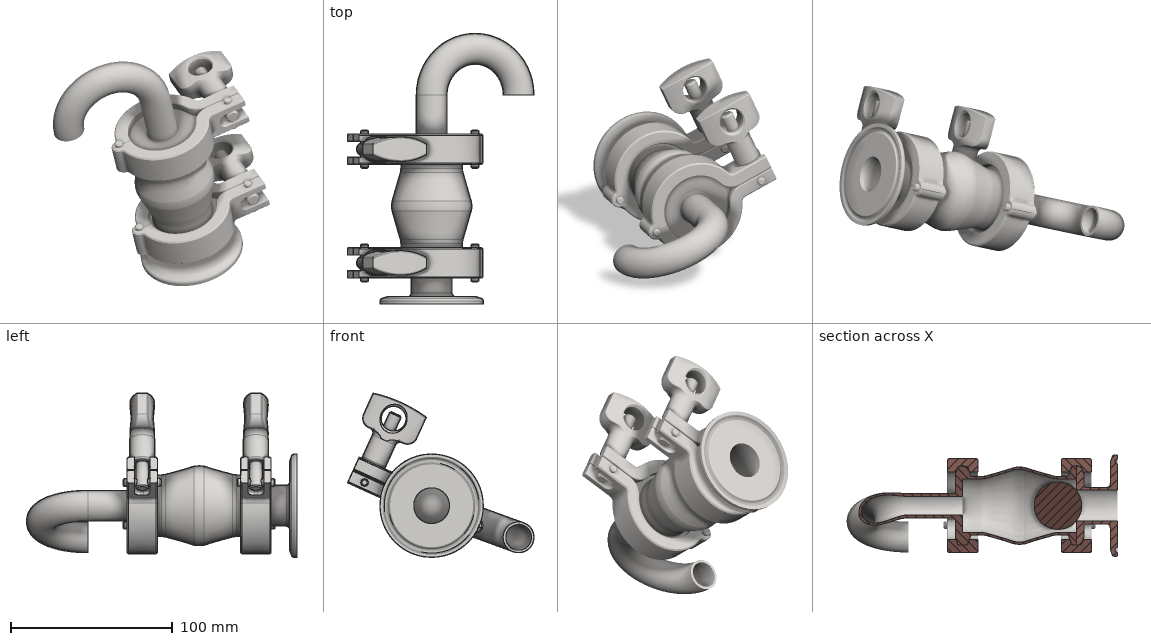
import cadquery as cq
import math


beyond = 167.4
tolerance = 0.2

inlet_od = 25.5
inlet_bore = 22.1
neck_od = 38.2
neck_bore = 34.8
hook_od = 19.0
hook_bore = 15.9

inlet_length = 25.5
housing_length = 70.3
outlet_joint = inlet_length + housing_length

inlet_flange_od = 64.0
joint_flange_od = 50.4
rim_thickness = 3.0
flange_thickness = 4.7
taper_width = 4.5
rim_fillet = 1.7
flange_fillet = 2.0
joint_fillet = 1.3

gasket_groove_d = 55.9
gasket_groove_width = 2.8
gasket_groove_edge = 0.7

cone_angle = 16
cone_length = 22.0
belly_fillet = 10.9
neck_fillet = 9.0

overall_length = 167.4
bend_radius = 28.6
hook_tilt = 20
bend_start = overall_length - bend_radius - hook_od / 2

ball_d = 31.8

clamp_tilt = 24.5
clamp_width = 18.9
jaw_od = 59.5
jaw_bore = 42.8
jaw_gap = 0.5
jaw_chamfer = 0.8
ear_end = 53.2
ear_height = 8.7
ear_root_fillet = 3.3
mouth_fillet = 11.7
mouth_chamfer = 0.5
slot_width = 9.7
slot_end = 34.6
slot_corner = 4.0
hinge_x = 29.5
knuckle_d = 9.7
knuckle_fillet = 2.5
pin_d = 4.7
pin_length = 23.6
pin_chamfer = 0.7

bolt_x = -43.7
bolt_d = 7.9
bolt_top = 42.5
bolt_bottom = -8.4
bolt_edge = 0.8
pivot_z = -4.2
post_d = 15.7
post_top = 24.8
post_edge = 1.2
wing_half_width = 18.0
wing_shoulder = 48.4
wing_crown = 50.2
flare_radius = 3.0
wing_base = post_top + flare_radius
wing_corner = 6.4
wing_edge_thickness = 6.9
wing_middle_thickness = 15.2
wing_edge_fillet = 0.7
eye_d = 15.2
eye_z = 39.2
eye_chamfer = 1.5


def region(x=(-beyond, beyond), y=(-beyond, beyond), z=(-beyond, beyond)):
    """Selector for the edges with their centre inside the given ranges."""
    return cq.selectors.BoxSelector((x[0], y[0], z[0]), (x[1], y[1], z[1]))


def around(place):
    return (place - tolerance, place + tolerance)


def rod(diameter, start, length):
    """Cylinder along the flow axis."""
    return cq.Workplane("XZ", origin=(0, start, 0)).circle(diameter / 2).extrude(-length)


def cross_pin(x, z):
    """Chamfered pin that is parallel to the flow axis and centred on the clamp."""
    pin = rod(pin_d, -pin_length / 2, pin_length).edges("%CIRCLE").chamfer(pin_chamfer)
    return pin.translate((x, 0, z))


def flange(rim_d, pipe_d, fillet):
    """Solid ferrule flange with its face at Y = 0 and a fillet up to a pipe on its +Y side."""
    rim_r = rim_d / 2
    pipe_r = pipe_d / 2
    root_y = flange_thickness + fillet
    arc_mid = fillet * (1 - math.sqrt(0.5))
    body = (
        cq.Workplane("XY")
        .lineTo(rim_r, 0)
        .lineTo(rim_r, rim_thickness)
        .lineTo(rim_r - taper_width, flange_thickness)
        .lineTo(pipe_r + fillet, flange_thickness)
        .threePointArc((pipe_r + arc_mid, flange_thickness + arc_mid), (pipe_r, root_y))
        .lineTo(0, root_y)
        .close()
        .revolve(360, (0, 0, 0), (0, 1, 0))
    )
    return body.edges("%CIRCLE").edges(region(y=around(rim_thickness))).fillet(rim_fillet)


def joint_flange(pipe_d):
    return flange(joint_flange_od, pipe_d, joint_fillet)


def face_the_other_way(body):
    return body.rotate((0, 0, 0), (0, 0, 1), 180)


def make_inlet():
    inlet = flange(inlet_flange_od, inlet_od, flange_fillet)
    inlet = inlet.union(rod(inlet_od, 0, inlet_length))
    inlet = inlet.union(face_the_other_way(joint_flange(inlet_od)).translate((0, inlet_length, 0)))
    inlet = inlet.cut(rod(inlet_bore, 0, inlet_length))
    groove = (
        cq.Workplane("XY")
        .center(gasket_groove_d / 2, 0)
        .circle(gasket_groove_width / 2)
        .revolve(360, (-gasket_groove_d / 2, 0, 0), (-gasket_groove_d / 2, 1, 0))
    )
    inlet = inlet.cut(groove)
    groove_rims = [
        edge for edge in inlet.faces("<Y").edges("%CIRCLE").vals()
        if abs(2 * edge.radius() - gasket_groove_d) < gasket_groove_width + tolerance
    ]
    return inlet.newObject(groove_rims).fillet(gasket_groove_edge)


def swollen_rod(neck_d):
    """Round bar from joint to joint that swells to a rounded belly in the middle."""
    neck_r = neck_d / 2
    belly_r = neck_r + cone_length * math.tan(math.radians(cone_angle))
    middle = inlet_length + housing_length / 2
    bar = (
        cq.Workplane("XY")
        .moveTo(0, inlet_length)
        .lineTo(neck_r, inlet_length)
        .lineTo(neck_r, middle - cone_length)
        .lineTo(belly_r, middle)
        .lineTo(neck_r, middle + cone_length)
        .lineTo(neck_r, outlet_joint)
        .lineTo(0, outlet_joint)
        .close()
        .revolve(360, (0, 0, 0), (0, 1, 0))
    )
    for corner_y, radius in (
        (middle, belly_fillet),
        (middle - cone_length, neck_fillet),
        (middle + cone_length, neck_fillet),
    ):
        bar = bar.edges("%CIRCLE").edges(region(y=around(corner_y))).fillet(radius)
    return bar


def hook_rod(diameter):
    """Round bar along the centreline of the hook, starting at the outlet joint."""
    straight = rod(diameter, outlet_joint, bend_start - outlet_joint)
    bend = (
        cq.Workplane("XZ", origin=(0, bend_start, 0))
        .circle(diameter / 2)
        .revolve(180, (bend_radius, 0, 0), (bend_radius, -1, 0))
    )
    return straight.union(bend).rotate((0, 0, 0), (0, 1, 0), hook_tilt)


def make_housing():
    """Swollen chamber and hooked outlet."""
    housing = swollen_rod(neck_od)
    housing = housing.union(joint_flange(neck_od).translate((0, inlet_length, 0)))
    housing = housing.union(face_the_other_way(joint_flange(neck_od)).translate((0, outlet_joint, 0)))
    housing = housing.cut(swollen_rod(neck_bore))
    outlet = joint_flange(hook_od).translate((0, outlet_joint, 0)).union(hook_rod(hook_od))
    return housing.union(outlet.cut(hook_rod(hook_bore)))


def make_ball():
    """Ball that rests on the rim of the inlet bore."""
    seat_height = math.sqrt((ball_d / 2) ** 2 - (inlet_bore / 2) ** 2)
    return cq.Workplane("XY").sphere(ball_d / 2).translate((0, inlet_length + seat_height, 0))


def clamp_blank():
    """Outer shape of both jaws together, with its ears and its hinge knuckle."""
    blank = rod(jaw_od, -clamp_width / 2, clamp_width)
    ears = cq.Workplane("XY").box(ear_end, clamp_width, 2 * ear_height).translate((-ear_end / 2, 0, 0))
    blank = blank.union(ears)
    roots = region(x=(-ear_end + tolerance, 0))
    blank = blank.edges("|Y").edges(roots).fillet(ear_root_fillet)
    blank = blank.union(rod(knuckle_d, -clamp_width / 2, clamp_width).translate((hinge_x, 0, 0)))
    corners = region(x=(hinge_x - knuckle_d / 2, beyond))
    blank = blank.edges("|Y").edges(corners).fillet(knuckle_fillet)
    return blank.faces("<Y or >Y").edges("not <X").chamfer(jaw_chamfer)


def ear_slot():
    """Slot, open at the end of the ears, that the bolt swings into."""
    length = 2 * (ear_end - slot_end)
    slot = cq.Workplane("XY").box(length, slot_width, 4 * ear_height)
    return slot.edges("|Z").fillet(slot_corner).translate((-ear_end, 0, 0))


def make_jaw(side):
    """Upper jaw for side = 1, lower jaw for side = -1, parted by the gap at Z = 0."""
    parting_z = side * jaw_gap / 2
    half_space = cq.Workplane("XY").box(beyond, beyond, beyond)
    half_space = half_space.translate((0, 0, parting_z + side * beyond / 2))
    jaw = clamp_blank().intersect(half_space)
    jaw = jaw.cut(rod(jaw_bore, -clamp_width / 2, clamp_width))
    mouth = region(x=around(-jaw_bore / 2), z=around(parting_z))
    jaw = jaw.edges("|Y").edges(mouth).fillet(mouth_fillet)
    ear_edges = region(x=(-ear_end, -jaw_bore / 2), z=around(parting_z))
    jaw = jaw.edges("|X").edges(ear_edges).chamfer(mouth_chamfer)
    mating_flanges = joint_flange(inlet_od).union(face_the_other_way(joint_flange(inlet_od)))
    return jaw.cut(mating_flanges).cut(ear_slot())


def make_upper_jaw():
    return make_jaw(1).cut(cross_pin(hinge_x, 0))


def make_lower_jaw():
    """Lower jaw with the hinge pin, and a hole for the pivot of the swing bolt."""
    return make_jaw(-1).cut(cross_pin(bolt_x, pivot_z)).union(cross_pin(hinge_x, 0))


def wing_lens():
    """Prism along the bolt with the lens-shaped section of the wings."""
    edge_y = wing_edge_thickness / 2
    middle_y = wing_middle_thickness / 2
    return (
        cq.Workplane("XY")
        .moveTo(-wing_half_width, -edge_y)
        .threePointArc((0, -middle_y), (wing_half_width, -edge_y))
        .lineTo(wing_half_width, edge_y)
        .threePointArc((0, middle_y), (-wing_half_width, edge_y))
        .close()
        .extrude(wing_crown)
    )


def wing():
    """Wing plate that is thickest in the middle, with a crowned top and rounded lower corners."""
    plate = (
        cq.Workplane("XZ")
        .moveTo(-wing_half_width, wing_base)
        .lineTo(wing_half_width, wing_base)
        .lineTo(wing_half_width, wing_shoulder)
        .threePointArc((0, wing_crown), (-wing_half_width, wing_shoulder))
        .close()
        .extrude(wing_middle_thickness, both=True)
    )
    plate = plate.edges("|Y").edges(region(z=around(wing_base))).fillet(wing_corner)
    plate = plate.intersect(wing_lens())
    return plate.edges("not |Y").fillet(wing_edge_fillet)


def flare():
    """Concave blend from the post up to the underside of the wings, flush with the wing faces."""
    post_r = post_d / 2
    arc_mid = flare_radius * (1 - math.sqrt(0.5))
    cone = (
        cq.Workplane("XZ")
        .moveTo(0, post_top)
        .lineTo(post_r, post_top)
        .threePointArc((post_r + arc_mid, wing_base - arc_mid), (post_r + flare_radius, wing_base))
        .lineTo(post_r + flare_radius, wing_base + flare_radius)
        .lineTo(0, wing_base + flare_radius)
        .close()
        .revolve(360, (0, 0, 0), (0, 1, 0))
    )
    return cone.intersect(wing_lens())


def post():
    """Round post that stands on the upper ear."""
    height = post_top - ear_height
    column = cq.Workplane("XY", origin=(0, 0, ear_height)).circle(post_d / 2).extrude(height)
    return column.faces("<Z").edges().fillet(post_edge)


def eye_cutter():
    """Hole through the wing, widened by a chamfer at each face."""
    middle_y = wing_middle_thickness / 2
    eye_r = eye_d / 2
    half = (
        cq.Workplane("XY")
        .lineTo(eye_r, 0)
        .lineTo(eye_r, middle_y - eye_chamfer)
        .lineTo(eye_r + eye_chamfer, middle_y)
        .lineTo(0, middle_y)
        .close()
        .revolve(360, (0, 0, 0), (0, 1, 0))
    )
    return half.union(half.mirror("XZ")).translate((0, 0, eye_z))


def make_swing_bolt():
    """Bolt with its pivot pin and its wing head."""
    head = wing().union(flare()).union(post()).cut(eye_cutter())
    length = bolt_top - bolt_bottom
    shank = cq.Workplane("XY", origin=(0, 0, bolt_bottom)).circle(bolt_d / 2).extrude(length)
    shank = shank.edges("%CIRCLE").chamfer(bolt_edge)
    return head.union(shank).union(cross_pin(0, pivot_z)).translate((bolt_x, 0, 0))


def at_joint(body, joint_y):
    return body.rotate((0, 0, 0), (0, 1, 0), clamp_tilt).translate((0, joint_y, 0))


inlet = make_inlet()
housing = make_housing()
ball = make_ball()
bodies = [inlet.val(), housing.val(), ball.val()]
for joint_y in (inlet_length, outlet_joint):
    for make_body in (make_upper_jaw, make_lower_jaw, make_swing_bolt):
        bodies.append(at_joint(make_body(), joint_y).val())

result = cq.Compound.makeCompound(bodies)